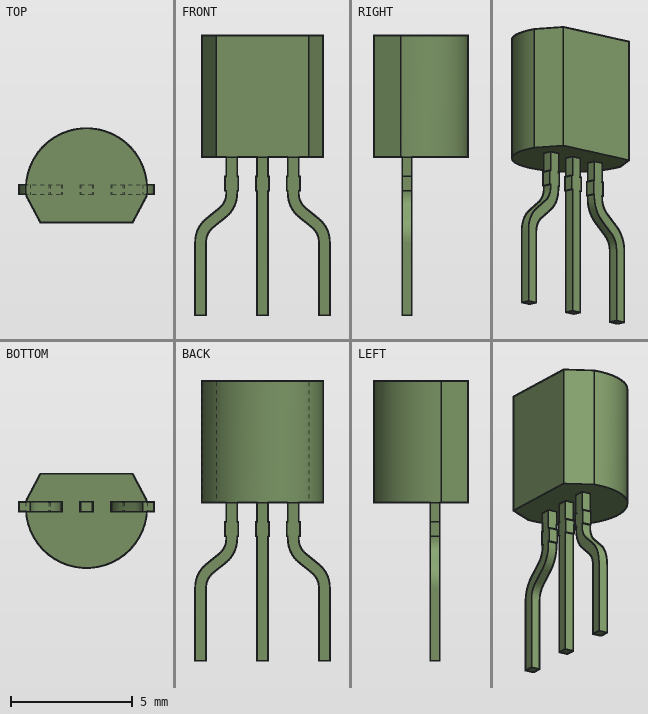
import cadquery as cq
import math

total_height = 11.5
body_height = 5.0
body_bottom = total_height - body_height

body_radius = 2.5
body_depth = 3.88
flat_half_width = 1.9
slant_depth = 1.1
flat_y = body_radius - body_depth
slant_y = flat_y + slant_depth
slant_x = math.sqrt(body_radius**2 - slant_y**2)

lead_width = 0.46
lead_thickness = 0.4
lead_y = -0.02
lead_pitch = 1.26
tip_pitch = 2.54
collar_width = 0.55
collar_top = body_bottom - 0.79
collar_height = 0.59

bend_start = body_bottom - 1.5
bend_drop = 1.99
bend_radius = 1.0
bend_offset = tip_pitch - lead_pitch


def make_body():
    return (
        cq.Workplane("XY")
        .workplane(offset=body_bottom)
        .moveTo(-flat_half_width, flat_y)
        .lineTo(flat_half_width, flat_y)
        .lineTo(slant_x, slant_y)
        .threePointArc((0, body_radius), (-slant_x, slant_y))
        .lineTo(-flat_half_width, flat_y)
        .close()
        .extrude(body_height)
    )


def lead_block(x, bottom, top, width):
    """Straight upright piece of lead centred on x."""
    height = top - bottom
    return cq.Workplane("XY").box(width, lead_thickness, height).translate((x, lead_y, bottom + height / 2))


def make_collar(x):
    return lead_block(x, collar_top - collar_height, collar_top, collar_width)


def make_bent_lead():
    """Right-hand lead: straight, two equal opposite bends joined by a tangent line, straight."""
    centre_dx = bend_offset - 2 * bend_radius
    slope_length = math.sqrt(centre_dx**2 + bend_drop**2 - (2 * bend_radius) ** 2)
    angle = math.atan2(centre_dx, bend_drop) + math.atan2(2 * bend_radius, slope_length)
    bend_end = bend_start - bend_drop
    upper_centre_x = lead_pitch + bend_radius
    lower_centre_x = tip_pitch - bend_radius

    def upper_point(radius, turn):
        return (upper_centre_x - radius * math.cos(turn), bend_start - radius * math.sin(turn))

    def lower_point(radius, turn):
        return (lower_centre_x + radius * math.cos(turn), bend_end + radius * math.sin(turn))

    inner_radius = bend_radius - lead_width / 2
    outer_radius = bend_radius + lead_width / 2
    profile = (
        cq.Workplane("XZ")
        .moveTo(lead_pitch - lead_width / 2, body_bottom)
        .lineTo(*upper_point(outer_radius, 0))
        .threePointArc(upper_point(outer_radius, angle / 2), upper_point(outer_radius, angle))
        .lineTo(*lower_point(inner_radius, angle))
        .threePointArc(lower_point(inner_radius, angle / 2), lower_point(inner_radius, 0))
        .lineTo(tip_pitch - lead_width / 2, 0)
        .lineTo(tip_pitch + lead_width / 2, 0)
        .lineTo(*lower_point(outer_radius, 0))
        .threePointArc(lower_point(outer_radius, angle / 2), lower_point(outer_radius, angle))
        .lineTo(*upper_point(inner_radius, angle))
        .threePointArc(upper_point(inner_radius, angle / 2), upper_point(inner_radius, 0))
        .lineTo(lead_pitch + lead_width / 2, body_bottom)
        .close()
    )
    return profile.extrude(lead_thickness / 2, both=True).translate((0, lead_y, 0))


right_lead = make_bent_lead()
left_lead = right_lead.mirror("YZ")
middle_lead = lead_block(0, 0, body_bottom, lead_width)

result = make_body().union(middle_lead).union(right_lead).union(left_lead)
for collar_x in (-lead_pitch, 0, lead_pitch):
    result = result.union(make_collar(collar_x))